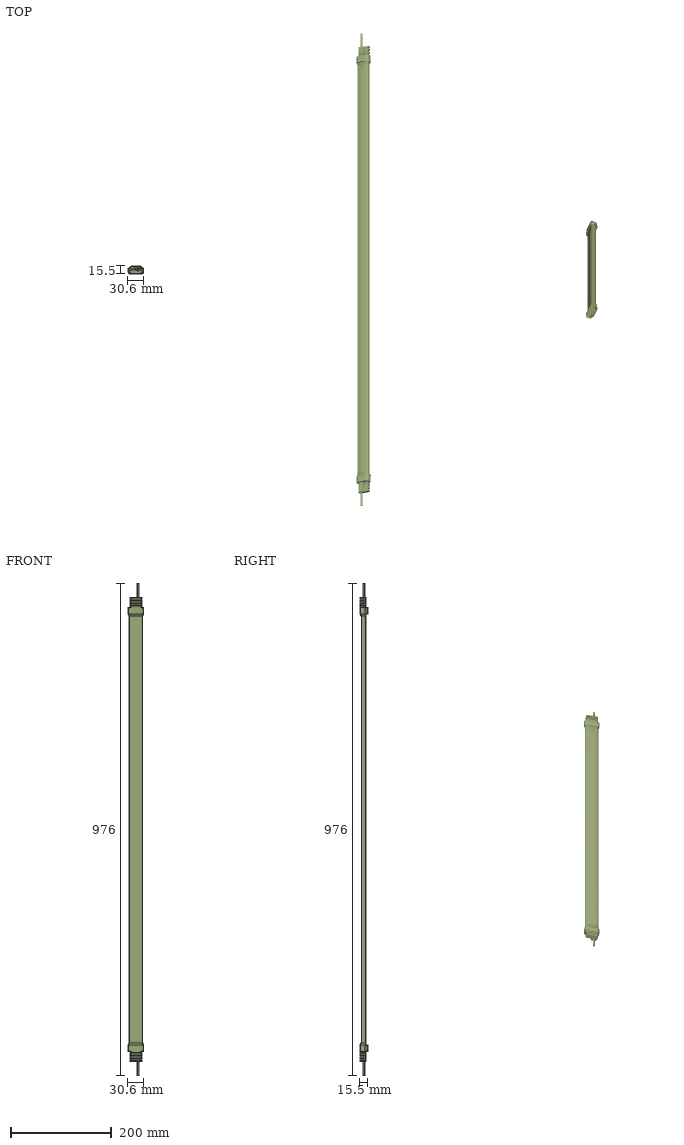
import cadquery as cq

total_length = 976.0
half_length = total_length / 2

flange_width = 30.6
flange_depth = 15.53
flange_bottom_z = 427.6
flange_top_z = 440.0
flange_front_radius = 5.5
flange_chamfer_x = 6.6
flange_chamfer_y = 5.4
flange_front_y = -flange_depth / 2
flange_back_y = flange_depth / 2

tube_width = 26.8
tube_front_y = -5.2
tube_back_y = 3.7
tube_radius = 3.6

collar_height = 4.4
collar_taper = 1.8
collar_bottom_z = flange_bottom_z - collar_height
collar_top_width = flange_width
collar_bottom_width = collar_top_width - 2 * collar_taper
collar_top_front_y = flange_front_y
collar_bottom_front_y = collar_top_front_y + collar_taper
collar_back_y = 4.2
collar_radius = 4.0

plug_width = 24.0
plug_top_z = 460.0
plug_front_radius = 2.8
parting_y = 0.0
lid_width = 13.0
lid_back_y = 4.0
lid_side_inset = 2.0
groove_count = 3
groove_width = 2.9
groove_pitch = 2 * groove_width
groove_depth = 1.5
first_groove_z = 442.6
lid_bottom_z = first_groove_z

cable_x = 4.4
cable_diameter = 4.0
cable_seat_depth = 15.0
cable_bottom_z = plug_top_z - cable_seat_depth


def rounded_bar(width, front_y, back_y, radius, bottom_z, top_z):
    """An upright bar with its four long edges rounded."""
    return (
        cq.Workplane("XY", origin=(0, (front_y + back_y) / 2, bottom_z))
        .rect(width, back_y - front_y)
        .extrude(top_z - bottom_z)
        .edges("|Z")
        .fillet(radius)
    )


def make_tube():
    return rounded_bar(
        tube_width, tube_front_y, tube_back_y, tube_radius, -flange_bottom_z, flange_bottom_z
    )


def make_cable():
    radius = cable_diameter / 2
    return (
        cq.Workplane("XY", origin=(cable_x, parting_y, cable_bottom_z))
        .moveTo(0, -radius)
        .threePointArc((radius, 0), (0, radius))
        .threePointArc((-radius, 0), (0, -radius))
        .close()
        .extrude(half_length - cable_bottom_z, clean=False)
    )


def make_flange():
    half_width = flange_width / 2
    outline = [
        (-half_width, flange_front_y),
        (half_width, flange_front_y),
        (half_width, flange_back_y - flange_chamfer_y),
        (half_width - flange_chamfer_x, flange_back_y),
        (-half_width + flange_chamfer_x, flange_back_y),
        (-half_width, flange_back_y - flange_chamfer_y),
    ]
    return (
        cq.Workplane("XY", origin=(0, 0, flange_bottom_z))
        .polyline(outline)
        .close()
        .extrude(flange_top_z - flange_bottom_z)
        .edges("|Z and <Y")
        .fillet(flange_front_radius)
    )


def plug_front(width, front_y, radius, bottom_z, top_z):
    """The front half of the plug, with its two front edges rounded."""
    return (
        cq.Workplane("XY", origin=(0, (front_y + parting_y) / 2, bottom_z))
        .rect(width, parting_y - front_y)
        .extrude(top_z - bottom_z)
        .edges("|Z and <Y")
        .fillet(radius)
    )


def cable_backing(bottom_z, top_z):
    """A block behind the cable, with sides that slope inward to the back."""
    half_width = lid_width / 2
    outline = [
        (-half_width, parting_y),
        (half_width, parting_y),
        (half_width - lid_side_inset, lid_back_y),
        (-half_width + lid_side_inset, lid_back_y),
    ]
    return (
        cq.Workplane("XY", origin=(cable_x, 0, bottom_z))
        .polyline(outline)
        .close()
        .extrude(top_z - bottom_z)
    )


def make_cap(cable):
    """Flange, ribbed plug front and the low shoulder that the lid stands on."""
    plug = plug_front(plug_width, flange_front_y, plug_front_radius, flange_top_z, plug_top_z)
    shoulder = cable_backing(flange_top_z, lid_bottom_z)
    cap = make_flange().union(plug).union(shoulder)
    core_width = plug_width - 2 * groove_depth
    core_front_y = flange_front_y + groove_depth
    core_radius = plug_front_radius - groove_depth
    for index in range(groove_count):
        bottom_z = first_groove_z + index * groove_pitch
        top_z = bottom_z + groove_width
        slab = (
            cq.Workplane("XY", origin=(0, 0, bottom_z))
            .rect(2 * flange_width, 2 * flange_depth)
            .extrude(groove_width)
        )
        core = plug_front(core_width, core_front_y, core_radius, bottom_z, top_z)
        cap = cap.cut(slab.cut(core))
    return cap.cut(cable)


def make_lid(cable):
    return cable_backing(lid_bottom_z, plug_top_z).cut(cable)


def collar_section(width, front_y, z):
    depth = collar_back_y - front_y
    sketch = cq.Sketch().rect(width, depth).vertices().fillet(collar_radius)
    return sketch.moved(cq.Location(cq.Vector(0, (front_y + collar_back_y) / 2, z)))


def make_collar(tube):
    bottom = collar_section(collar_bottom_width, collar_bottom_front_y, collar_bottom_z)
    top = collar_section(collar_top_width, collar_top_front_y, flange_bottom_z)
    return cq.Workplane("XY").placeSketch(bottom, top).loft().cut(tube)


tube = make_tube()
upper_cable = make_cable()
end_bodies = [
    make_cap(upper_cable),
    make_lid(upper_cable),
    make_collar(tube),
    upper_cable,
]

bodies = [tube.val()]
for body in end_bodies:
    bodies.append(body.val())
    bodies.append(body.mirror("XY").val())

result = cq.Compound.makeCompound(bodies)